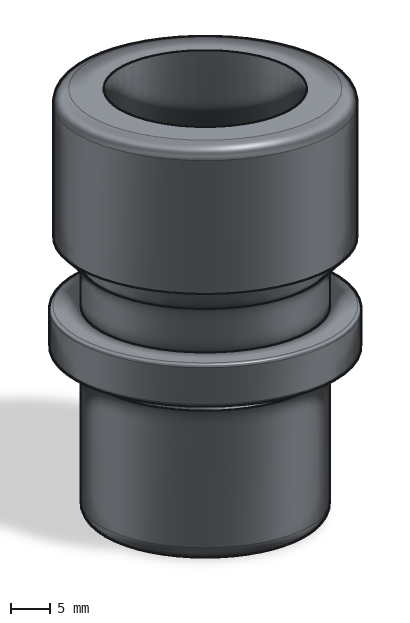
import cadquery as cq

length = 59.0
bore_diameter = 26.0

shank_diameter = 32.0
groove_diameter = 30.4
collar_diameter = 40.0
head_diameter = 39.0

collar_bottom = 23.0
collar_thickness = 6.0
neck_length = 6.0
groove_width = 1.25
collar_top = collar_bottom + collar_thickness
neck_top = collar_top + neck_length

end_fillet = 2.0
collar_fillet = 0.5

shank_radius = shank_diameter / 2
groove_radius = groove_diameter / 2
head_radius = head_diameter / 2
groove_depth = shank_radius - groove_radius
groove_bottom = collar_bottom - groove_width
head_cone_height = head_radius - shank_radius


def cylinder(diameter, bottom, top):
    """Vertical cylinder centred on the Z axis."""
    return cq.Workplane("XY").workplane(offset=bottom).circle(diameter / 2).extrude(top - bottom)


def make_shank():
    """Lower shank with a rounded end and a chamfered shoulder at the relief groove."""
    shank = cylinder(shank_diameter, 0, groove_bottom)
    shank = shank.faces("<Z").edges().fillet(end_fillet)
    shank = shank.faces(">Z").edges().chamfer(groove_depth)
    return shank.union(cylinder(groove_diameter, groove_bottom, collar_bottom))


def make_collar():
    """Locating collar with both rims rounded."""
    collar = cylinder(collar_diameter, collar_bottom, collar_top)
    return collar.faces("<Z or >Z").edges().fillet(collar_fillet)


def make_head():
    """Upper head with a 45 degree cone underneath and a rounded top rim."""
    head = cylinder(head_diameter, neck_top, length)
    head = head.faces("<Z").edges().chamfer(head_cone_height)
    return head.faces(">Z").edges().fillet(end_fillet)


neck = cylinder(shank_diameter, collar_top, neck_top)
bore = cylinder(bore_diameter, 0, length)
result = make_shank().union(make_collar()).union(neck).union(make_head()).cut(bore)